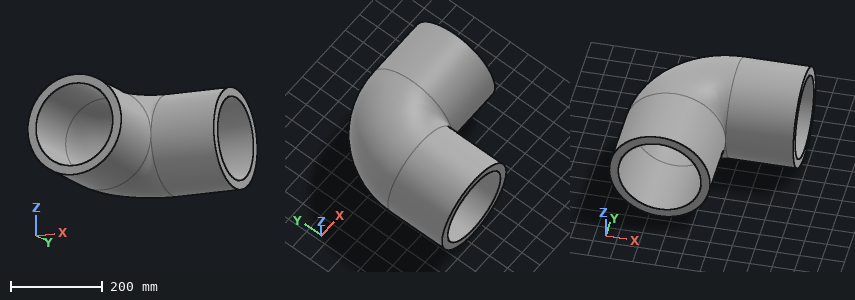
import cadquery as cq

overall_length = 376.5
outer_diameter = 225.0
wall = 20.5
inner_corner_radius = 0.08
bend_angle = 90.0

outer_radius = outer_diameter / 2
inner_radius = outer_radius - wall
bend_radius = outer_radius + inner_corner_radius
leg_length = overall_length - bend_radius - outer_radius


def elbow(radius):
    """Solid round bar of the given radius following the elbow's centreline."""
    path = (
        cq.Workplane("XY")
        .moveTo(0, -leg_length)
        .lineTo(0, 0)
        .radiusArc((bend_radius, bend_radius), bend_radius)
        .lineTo(bend_radius + leg_length, bend_radius)
    )
    start = cq.Plane(origin=(0, -leg_length, 0), xDir=(0, 0, 1), normal=(0, 1, 0))
    return cq.Workplane(start).circle(radius).sweep(path)


result = elbow(outer_radius).cut(elbow(inner_radius))